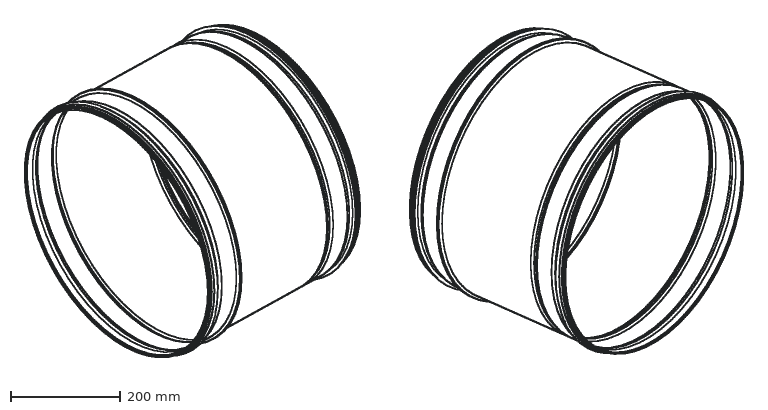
import cadquery as cq

length = 375.0
wall = 0.75
half_length = length / 2

body_radius = 499.5 / 2
front_seat_radius = 493.0 / 2
back_seat_radius = 495.0 / 2
groove_radius = 493.0 / 2
bead_radius = 511 / 2

seat_end = 25.0
body_start = 31.5
bead_offset = 73.0
bead_half_width = 5.5
bead_crest_half_width = 2.5
groove_offset = 74.5
groove_half_width = 7.0
groove_floor_half_width = 2.0

rim_thickness = 1.5
hem_radius = 496.5 / 2
hem_end = 3.5

seal_start = hem_end
seal_end = 17.0
seal_base_radius = 499.0 / 2
seal_base_end = 7.0
small_lip_radius = 504.0 / 2
small_lip_end = 11.0
lip_root_radius = 501.5 / 2
large_lip_radius = 509.0 / 2

end_seats = [(-1, front_seat_radius), (1, back_seat_radius)]


def revolve_about_y(profile):
    """Close an (r, y) profile and turn it once around the Y axis."""
    return profile.close().revolve(360, (0, 0), (0, 1))


def ring(inner_radius, outer_radius, y_from, y_to):
    points = [(inner_radius, y_from), (outer_radius, y_from), (outer_radius, y_to), (inner_radius, y_to)]
    return revolve_about_y(cq.Workplane("XY").polyline(points))


def solid_of_sheet_surface(inset):
    """Solid bounded by the sheet surface lying `inset` below the outer one."""
    body = body_radius - inset
    bead_y = -half_length + bead_offset
    bead_half = bead_half_width - inset
    crest_half = bead_crest_half_width - inset
    groove_y = half_length - groove_offset
    groove_half = groove_half_width + inset
    floor_half = groove_floor_half_width + inset
    profile = (
        cq.Workplane("XY")
        .moveTo(0, -half_length)
        .lineTo(front_seat_radius - inset, -half_length)
        .lineTo(front_seat_radius - inset, -half_length + seat_end)
        .lineTo(body, -half_length + body_start)
        .lineTo(body, bead_y - bead_half)
        .lineTo(bead_radius - inset, bead_y - crest_half)
        .lineTo(bead_radius - inset, bead_y + crest_half)
        .lineTo(body, bead_y + bead_half)
        .lineTo(body, groove_y - groove_half)
        .lineTo(groove_radius - inset, groove_y - floor_half)
        .lineTo(groove_radius - inset, groove_y + floor_half)
        .lineTo(body, groove_y + groove_half)
        .lineTo(body, half_length - body_start)
        .lineTo(back_seat_radius - inset, half_length - seat_end)
        .lineTo(back_seat_radius - inset, half_length)
        .lineTo(0, half_length)
    )
    return revolve_about_y(profile)


def folded_rim(side, seat_radius):
    """Flange and hem at the end on the given side of the Y axis (+1 or -1)."""
    inner_radius = seat_radius - wall
    mouth = side * half_length
    flange = ring(inner_radius, body_radius, mouth, mouth - side * rim_thickness)
    hem = ring(inner_radius, hem_radius, mouth, mouth - side * hem_end)
    return flange.union(hem)


def make_shell():
    sheet = solid_of_sheet_surface(0).cut(solid_of_sheet_surface(wall))
    for side, seat_radius in end_seats:
        sheet = sheet.union(folded_rim(side, seat_radius))
    return sheet


def make_seal(side, seat_radius):
    """Double-lip seal on the seat at the given side of the Y axis (+1 or -1)."""
    section = [
        (seat_radius, seal_start),
        (seal_base_radius, seal_start),
        (seal_base_radius, seal_base_end),
        (small_lip_radius, small_lip_end),
        (lip_root_radius, small_lip_end),
        (large_lip_radius, seal_end),
        (seat_radius, seal_end),
    ]
    points = [(radius, side * (half_length - depth)) for radius, depth in section]
    return revolve_about_y(cq.Workplane("XY").polyline(points))


shell = make_shell()
seals = [make_seal(side, seat_radius).val() for side, seat_radius in end_seats]

result = cq.Compound.makeCompound([shell.val(), *seals])